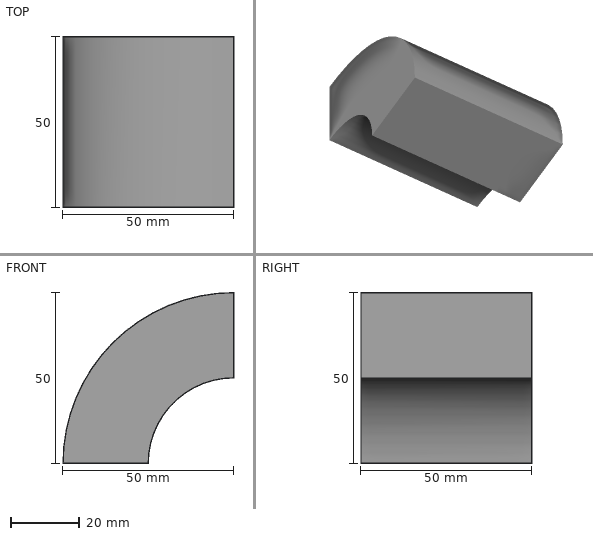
import cadquery as cq
import math

outer_radius = 50.0
inner_radius = outer_radius / 2
width = 50.0

diagonal = math.sqrt(0.5)
quarter_ring = (
    cq.Workplane("XZ")
    .moveTo(-outer_radius, 0)
    .threePointArc((-outer_radius * diagonal, outer_radius * diagonal), (0, outer_radius))
    .lineTo(0, inner_radius)
    .threePointArc((-inner_radius * diagonal, inner_radius * diagonal), (-inner_radius, 0))
    .close()
)

result = quarter_ring.extrude(width / 2, both=True)